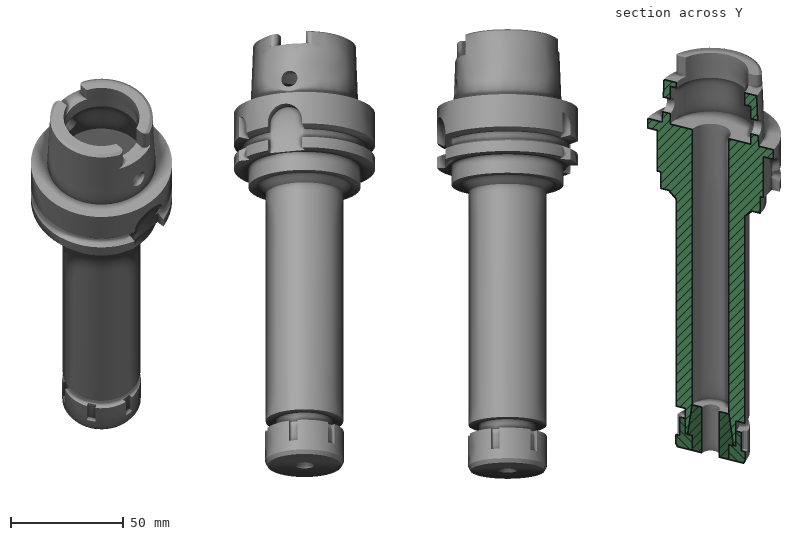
import cadquery as cq
import math

total_height = 197.0
nut_top_z = 15.8
shank_bottom_z = 20.7
shank_top_z = 127.3
shoulder_bottom_z = 130.6
flange_bottom_z = 139.0
groove_bottom_z = 144.0
groove_top_z = 150.3
gauge_face_z = 165.0

neck_radius = 12.8
shank_radius = 17.3
shoulder_radius = 25.0
shoulder_cone_radius = 20.9
flange_radius = 31.5
groove_radius = 27.5
groove_wall_radius = 28.4
groove_wall_rise = 1.4
taper_base_radius = 24.2
taper_ratio = 0.04
taper_top_radius = taper_base_radius - taper_ratio * (total_height - gauge_face_z)
taper_chamfer_height = 0.8
taper_chamfer_width = 1.4

lip_radius = 17.0
lip_depth = 12.8
chamber_radius = 20.0
lip_bottom_z = total_height - lip_depth
chamber_floor_z = gauge_face_z
bore_radius = 9.0
cross_hole_radius = 3.7
cross_hole_z = gauge_face_z + 9.0

drive_slot_width = 12.6
drive_slot_round = 2.4
left_drive_depth = 6.3
right_drive_depth = 9.8
key_floor_x = 26.5
key_top_z = 160.0
left_key_width = 16.0
right_key_width = 18.0
notch_floor_x = 19.9
notch_inner_y = 19.7
notch_width = 13.0

nut_radius = 17.5
nut_chamfer_height = 1.8
nut_chamfer_width = 1.0
nut_slot_count = 6
nut_slot_width = 4.0
nut_slot_bottom_z = 6.3
nut_slot_floor_radius = 15.5

neck_bottom_z = 7.9
collet_top_z = 23.6
collet_bore_radius = 4.1
collet_nose_radius = bore_radius
collet_half_angle = math.radians(8)
collet_seat_radius = bore_radius + (collet_top_z - neck_bottom_z) * math.tan(collet_half_angle)


def revolve_profile(points):
    """Turn a closed (radius, height) outline about the Z axis."""
    return cq.Workplane("XZ").polyline(points).close().revolve(360, (0, 0), (0, 1))


def box_between(x_range, y_range, z_range):
    """Axis-aligned box given by its low and high limits."""
    (x0, x1), (y0, y1), (z0, z1) = x_range, y_range, z_range
    return cq.Workplane("XY").box(x1 - x0, y1 - y0, z1 - z0, centered=False).translate((x0, y0, z0))


def turned_holder():
    """Neck, shank, shoulder, grooved flange and hollow taper, turned as one profile."""
    outside = [
        (collet_seat_radius, neck_bottom_z),
        (neck_radius, neck_bottom_z),
        (neck_radius, shank_bottom_z),
        (shank_radius, shank_bottom_z),
        (shank_radius, shank_top_z),
        (shoulder_cone_radius, shoulder_bottom_z),
        (shoulder_radius, shoulder_bottom_z),
        (shoulder_radius, flange_bottom_z),
        (flange_radius, flange_bottom_z),
        (flange_radius, groove_bottom_z),
        (groove_wall_radius, groove_bottom_z + groove_wall_rise),
        (groove_radius, groove_bottom_z + groove_wall_rise),
        (groove_radius, groove_top_z - groove_wall_rise),
        (groove_wall_radius, groove_top_z - groove_wall_rise),
        (flange_radius, groove_top_z),
        (flange_radius, gauge_face_z),
        (taper_base_radius, gauge_face_z),
        (taper_top_radius, total_height - taper_chamfer_height),
        (taper_top_radius - taper_chamfer_width, total_height),
    ]
    inside = [
        (lip_radius, total_height),
        (lip_radius, lip_bottom_z),
        (chamber_radius, lip_bottom_z),
        (chamber_radius, chamber_floor_z),
        (bore_radius, chamber_floor_z),
        (bore_radius, collet_top_z),
    ]
    return revolve_profile(outside + inside)


def drive_slot(side, depth):
    """Slot across the taper wall on one X side (-1 or +1), flaring out to round the wall's corners."""
    half_width = drive_slot_width / 2
    arc_y = half_width + drive_slot_round
    arc_x = math.sqrt((taper_top_radius - drive_slot_round) ** 2 - arc_y**2)
    reach = taper_top_radius / (taper_top_radius - drive_slot_round)
    tangent_x = arc_x * reach
    tangent_y = arc_y * reach
    middle_angle = math.atan2(arc_y, arc_x) / 2 - math.pi / 4
    middle_x = arc_x + drive_slot_round * math.cos(middle_angle)
    middle_y = arc_y + drive_slot_round * math.sin(middle_angle)
    outline = (
        cq.Workplane("XY", origin=(0, 0, total_height - depth))
        .moveTo(0, -half_width)
        .lineTo(side * arc_x, -half_width)
        .threePointArc((side * middle_x, -middle_y), (side * tangent_x, -tangent_y))
        .lineTo(side * flange_radius, -tangent_y)
        .lineTo(side * flange_radius, tangent_y)
        .lineTo(side * tangent_x, tangent_y)
        .threePointArc((side * middle_x, middle_y), (side * arc_x, half_width))
        .lineTo(0, half_width)
        .close()
    )
    return outline.extrude(depth)


def flange_slot(side, floor_x, center_y, width):
    """Flat-floored slot with a round top, cut into the flange from one X side."""
    radius = width / 2
    arch_z = key_top_z - radius
    x_range = sorted((side * floor_x, side * flange_radius))
    leg = box_between(x_range, (center_y - radius, center_y + radius), (flange_bottom_z, arch_z))
    arch = (
        cq.Workplane("YZ", origin=(x_range[0], center_y, arch_z))
        .circle(radius)
        .extrude(x_range[1] - x_range[0])
    )
    return leg.union(arch)


def make_holder():
    holder = turned_holder()
    holder = holder.cut(drive_slot(-1, left_drive_depth))
    holder = holder.cut(drive_slot(1, right_drive_depth))
    holder = holder.cut(flange_slot(-1, key_floor_x, 0, left_key_width))
    holder = holder.cut(flange_slot(1, key_floor_x, 0, right_key_width))
    notch_center_y = notch_inner_y + notch_width / 2
    holder = holder.cut(flange_slot(-1, notch_floor_x, notch_center_y, notch_width))
    cross_hole = (
        cq.Workplane("YZ", origin=(0, 0, cross_hole_z))
        .circle(cross_hole_radius)
        .extrude(taper_base_radius, both=True)
    )
    return holder.cut(cross_hole)


def make_nut():
    """Slotted ring around the neck, with a ledge that holds the collet in its seat."""
    nut = revolve_profile([
        (collet_nose_radius, 0),
        (nut_radius - nut_chamfer_width, 0),
        (nut_radius, nut_chamfer_height),
        (nut_radius, nut_top_z),
        (neck_radius, nut_top_z),
        (neck_radius, neck_bottom_z),
        (collet_nose_radius, neck_bottom_z),
    ])
    slot = box_between(
        (nut_slot_floor_radius, flange_radius),
        (-nut_slot_width / 2, nut_slot_width / 2),
        (nut_slot_bottom_z, nut_top_z),
    )
    for i in range(nut_slot_count):
        nut = nut.cut(slot.rotate((0, 0, 0), (0, 0, 1), i * 360 / nut_slot_count))
    return nut


def make_collet():
    """Tapered sleeve seated in the holder, with a straight nose through the nut."""
    return revolve_profile([
        (collet_bore_radius, 0),
        (collet_nose_radius, 0),
        (collet_nose_radius, neck_bottom_z),
        (collet_seat_radius, neck_bottom_z),
        (bore_radius, collet_top_z),
        (collet_bore_radius, collet_top_z),
    ])


holder = make_holder()
nut = make_nut()
collet = make_collet()

result = cq.Compound.makeCompound([holder.val(), nut.val(), collet.val()])